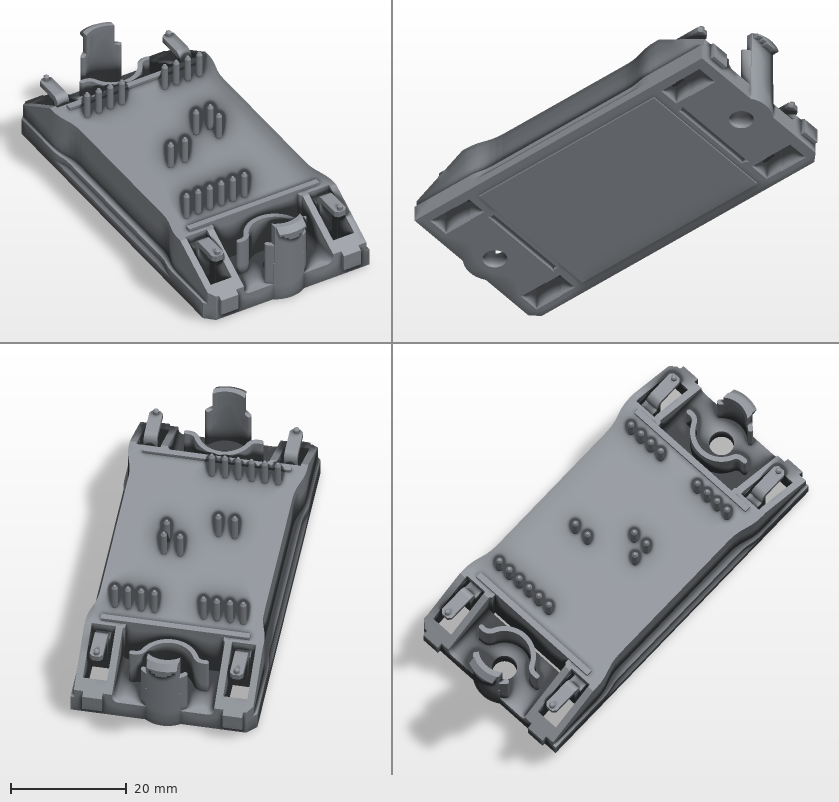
import cadquery as cq
import math

base_plate_height = 0.3
flange_top = 3.55
body_top = 11.2
bar_top = 11.8
pin_top = 16.3

overlap = 0.35

overall_half_length = 34.2
end_x = 32.15
tab_end_x = 33.05
flange_half_width = 32.5 / 2
corner_chamfer = 1.65
body_half_width = 15.65
waist_half_width = 28.8 / 2
waist_start_x = 21.15
waist_end_x = 13.9
top_half_length = 21.95
slope_angle = 30

base_plate_length = 39.1
base_plate_width = 28.05

recess_start_x = 19.9
recess_end_x = 15.3
recess_floor = 1.8
recess_half_width = 15.65

terminal_y = 12.3
tab_width = 3.4
tab_length = tab_end_x - end_x + overlap
tab_bottom = 1.8
window_outer_x = 30.1
window_inner_x = 21.5
window_width = 4.25
window_neck_x = 24.6
window_neck_width = 4.05
window_neck_top = 8.9

bay_half_width = 8.95
bay_fillet = 1.15
bay_inner_x = 21.75
slot_half_width = 8.6
hole_x = 27.55
hole_diameter = 4.3

wall_thickness = 0.9
wall_radius = 5.0
rib_top = 10.5
rib_end_offset = 1.15
rib_end_y = 7.0
rib_bend_radius = 1.6
wing_half_angle = 46.6

post_inner_radius = wall_radius - wall_thickness / 2
post_outer_radius = 5.55
post_half_width = 5.7 / 2
post_foot_half_width = 3.1
post_foot_top = 8.1
post_top = 15.95
hook_radius = overall_half_length - hole_x
hook_nose_top = 15.05
hook_steps = [(2.7, 14.65), (1.8, 14.15), (1.0, 13.7)]

bar_x = 20.1
bar_width = 1.1
bar_length = 26.1
slot_inner_x = bar_x + bar_width / 2

arm_width = 2.3
arm_outer_x = 29.5
arm_inner_x = 23.05
arm_top = 11.6
arm_thickness = 1.1
arm_tip_chamfer = 0.55
arm_bend_radius = 1.4
leg_bottom = 3.55
inner_bend_radius = 0.7
root_width = 2.7
root_top = 9.6
button_x = 28.8
button_diameter = 1.0
button_top = 12.6
button_chamfer = button_diameter / 4

pin_diameter = 1.1
pin_tip_height = 0.55
pin_tip_inset = 0.31
pin_pitch = 2.3
left_pin_x = -16.75
right_pin_x = 16.7
outer_pin_y = 11.3
center_pin_pitch = 2.9
center_pins = [(-1, 5.2), (0, 5.2), (-1, 2.3), (1, -3.35), (1, -6.2)]


def block(x_range, y_range, z_range):
    """Box given by its limits along the three axes."""
    sizes = [high - low for low, high in (x_range, y_range, z_range)]
    corner = (x_range[0], y_range[0], z_range[0])
    return cq.Workplane("XY").box(*sizes, centered=False).translate(corner)


def prism(outline, bottom, top):
    """Upright prism from an outline drawn in the XY plane."""
    return outline.extrude(top - bottom).translate((0, 0, bottom))


def polar(radius, degrees):
    """Point on the left mounting hole's circle; angles run clockwise from -X."""
    angle = math.radians(degrees)
    return (-hole_x - radius * math.cos(angle), radius * math.sin(angle))


def ring(inner_radius, outer_radius, bottom, top):
    """Full ring around the left mounting hole."""
    outline = cq.Workplane("XY").center(-hole_x, 0).circle(outer_radius).circle(inner_radius)
    return prism(outline, bottom, top)


def waisted_plan(edge_x, curve_start, curve_end, wide, narrow):
    """Plan outline that narrows from `wide` at the ends to `narrow` in the middle by S-curves."""
    middle_x = (curve_start + curve_end) / 2
    middle_y = (wide + narrow) / 2
    outline = cq.Workplane("XY").moveTo(-edge_x, -wide)
    for direction in (1, -1):
        near_side = -direction
        outline = (
            outline
            .lineTo(-direction * curve_start, near_side * wide)
            .tangentArcPoint((-direction * middle_x, near_side * middle_y), relative=False)
            .tangentArcPoint((-direction * curve_end, near_side * narrow), relative=False)
            .lineTo(direction * curve_end, near_side * narrow)
            .tangentArcPoint((direction * middle_x, near_side * middle_y), relative=False)
            .tangentArcPoint((direction * curve_start, near_side * wide), relative=False)
            .lineTo(direction * edge_x, near_side * wide)
        )
        if direction > 0:
            outline = outline.lineTo(edge_x, wide)
    return outline.close()


def flange():
    """Base flange with a recess along each long side that fades out in S-curves."""
    lower = block((-end_x, end_x), (-flange_half_width, flange_half_width), (base_plate_height, flange_top))
    reach = flange_half_width
    bevel = flange_half_width - recess_half_width
    recess = (
        cq.Workplane("YZ")
        .polyline([
            (reach, recess_floor),
            (reach, flange_top),
            (waist_half_width, flange_top),
            (waist_half_width, recess_floor + bevel),
            (recess_half_width, recess_floor + bevel),
        ])
        .close()
        .extrude(recess_start_x, both=True)
    )
    kept = prism(
        waisted_plan(end_x, recess_start_x, recess_end_x, flange_half_width, recess_half_width),
        base_plate_height, flange_top,
    )
    recess = recess.cut(kept)
    return lower.cut(recess).cut(recess.mirror("XZ"))


def end_slopes():
    """Side profile of the housing: flat top and sloping ends."""
    drop = (tab_end_x - top_half_length) * math.tan(math.radians(slope_angle))
    slope_end = body_top - drop
    profile = [
        (-tab_end_x, base_plate_height),
        (tab_end_x, base_plate_height),
        (tab_end_x, slope_end),
        (top_half_length, body_top),
        (-top_half_length, body_top),
        (-tab_end_x, slope_end),
    ]
    return cq.Workplane("XZ").polyline(profile).close().extrude(flange_half_width, both=True)


def housing():
    """Flange, waisted body and end tabs, trimmed by the two corner chamfers and the end slopes."""
    plan = waisted_plan(end_x, waist_start_x, waist_end_x, body_half_width, waist_half_width)
    body = flange().union(prism(plan, base_plate_height + overlap, body_top))
    corner_edge = flange_half_width - corner_chamfer
    for side in (-1, 1):
        corner = cq.Workplane("XY").polyline([
            (side * end_x, -corner_edge),
            (side * end_x, -flange_half_width),
            (side * (end_x - corner_chamfer), -flange_half_width),
        ]).close()
        body = body.cut(corner.extrude(body_top))
        for y in (-terminal_y, terminal_y):
            tab = cq.Workplane("XY").center(side * (tab_end_x - tab_length / 2), y)
            tab = tab.rect(tab_length, tab_width)
            body = body.union(prism(tab, tab_bottom, body_top))
    return body.intersect(end_slopes())


def bay_cut():
    """Bay with rounded floor corners, mounting hole, slot with bevelled lips and terminal windows."""
    bay = block((-tab_end_x, -bay_inner_x), (-bay_half_width, bay_half_width), (flange_top, pin_top))
    bay = bay.edges("|X and <Z").fillet(bay_fillet)
    lip = bay_half_width - slot_half_width
    slot_outline = cq.Workplane("XY").polyline([
        (-bay_inner_x, -bay_half_width),
        (-bay_inner_x + lip, -slot_half_width),
        (-slot_inner_x, -slot_half_width),
        (-slot_inner_x, slot_half_width),
        (-bay_inner_x + lip, slot_half_width),
        (-bay_inner_x, bay_half_width),
    ]).close()
    slot = slot_outline.extrude(pin_top)
    hole = cq.Workplane("XY").center(-hole_x, 0).circle(hole_diameter / 2).extrude(pin_top)
    cut = bay.union(slot).union(hole)
    for y in (-terminal_y, terminal_y):
        wide = (y - window_width / 2, y + window_width / 2)
        neck = (y - window_neck_width / 2, y + window_neck_width / 2)
        cut = cut.union(block((-window_outer_x, -window_neck_x), wide, (0, pin_top)))
        neck_length = (-window_neck_x, -window_inner_x)
        cut = cut.union(block(neck_length, wide, (window_neck_top, pin_top)))
        cut = cut.union(block(neck_length, neck, (0, window_neck_top)))
    return cut


def rib():
    """Wall round the inner side of the hole, with both ends bending outwards."""
    half = wall_thickness / 2
    bend_distance = wall_radius + rib_bend_radius
    bend_dx = rib_end_offset + rib_bend_radius
    bend_angle = math.acos(bend_dx / bend_distance)
    bend_y = bend_distance * math.sin(bend_angle)
    bend_center_x = -hole_x + bend_dx
    mid_angle = bend_angle / 2
    cap_y = rib_end_y - half

    def side_points(offset):
        """Tangent point, middle of the bend, X of the straight end and reach of one side."""
        circle = wall_radius + offset
        bend = rib_bend_radius - offset
        touch = (-hole_x + circle * math.cos(bend_angle), circle * math.sin(bend_angle))
        bend_middle = (bend_center_x - bend * math.cos(mid_angle), bend_y - bend * math.sin(mid_angle))
        return touch, bend_middle, bend_center_x - bend, circle - hole_x

    def below(point):
        return (point[0], -point[1])

    outer_touch, outer_bend, outer_x, outer_reach = side_points(half)
    inner_touch, inner_bend, inner_x, inner_reach = side_points(-half)

    outline = (
        cq.Workplane("XY")
        .moveTo(outer_x, -cap_y)
        .lineTo(outer_x, -bend_y)
        .threePointArc(below(outer_bend), below(outer_touch))
        .threePointArc((outer_reach, 0), outer_touch)
        .threePointArc(outer_bend, (outer_x, bend_y))
        .lineTo(outer_x, cap_y)
        .threePointArc(((outer_x + inner_x) / 2, rib_end_y), (inner_x, cap_y))
        .lineTo(inner_x, bend_y)
        .threePointArc(inner_bend, inner_touch)
        .threePointArc((inner_reach, 0), below(inner_touch))
        .threePointArc(below(inner_bend), (inner_x, -bend_y))
        .lineTo(inner_x, -cap_y)
        .threePointArc(((outer_x + inner_x) / 2, -rib_end_y), (outer_x, -cap_y))
        .close()
    )
    return prism(outline, flange_top - overlap, rib_top)


def wings():
    """Round-ended curved wall on the outer side of the hole."""
    inner = wall_radius - wall_thickness / 2
    outer = wall_radius + wall_thickness / 2
    angle = wing_half_angle
    cap_angle = angle + math.degrees(wall_thickness / 2 / wall_radius)
    outline = (
        cq.Workplane("XY")
        .moveTo(*polar(outer, -angle))
        .threePointArc(polar(outer, 0), polar(outer, angle))
        .threePointArc(polar(wall_radius, cap_angle), polar(inner, angle))
        .threePointArc(polar(inner, 0), polar(inner, -angle))
        .threePointArc(polar(wall_radius, -cap_angle), polar(outer, -angle))
        .close()
    )
    return prism(outline, flange_top - overlap, bar_top)


def outer_side(half_width, bottom):
    """Space on the outer side of the hole, used to trim rings to a width."""
    return block((-hole_x - hook_radius, -hole_x), (-half_width, half_width), (bottom, pin_top))


def latch_post():
    """Tall curved post, slightly wider at its foot."""
    foot = ring(post_inner_radius, post_outer_radius, base_plate_height, post_foot_top)
    foot = foot.intersect(outer_side(post_foot_half_width, 0))
    post = ring(post_inner_radius, post_outer_radius, base_plate_height, post_top)
    return foot.union(post.intersect(outer_side(post_half_width, 0)))


def latch_hook():
    """Outward nose with a bevelled top and an underside stepped towards the middle."""
    underside = hook_steps[-1][1]
    nose = (
        cq.Workplane("XZ")
        .polyline([
            (post_inner_radius + overlap, underside),
            (hook_radius, underside),
            (hook_radius, hook_nose_top),
            (post_outer_radius, post_top),
            (post_inner_radius + overlap, post_top),
        ])
        .close()
        .revolve(360, (0, 0, 0), (0, 1, 0))
        .translate((-hole_x, 0, 0))
    )
    steps = outer_side(*hook_steps[0])
    for half_width, bottom in hook_steps[1:]:
        steps = steps.union(outer_side(half_width, bottom))
    return nose.intersect(steps)


def terminal():
    """Bent arm over a window, with its leg rooted in the inner wall of the window."""
    arm_bottom = arm_top - arm_thickness
    bent = (
        cq.Workplane("XZ")
        .polyline([
            (-arm_outer_x, arm_top),
            (-arm_inner_x, arm_top),
            (-arm_inner_x, leg_bottom),
            (-arm_inner_x - arm_thickness, leg_bottom),
            (-arm_inner_x - arm_thickness, arm_bottom),
            (-arm_outer_x, arm_bottom),
        ])
        .close()
        .extrude(arm_width / 2, both=True)
        .translate((0, terminal_y, 0))
    )
    bent = bent.edges("|Y and >X and >Z").fillet(arm_bend_radius)
    inner_corner = cq.selectors.NearestToPointSelector(
        (-arm_inner_x - arm_thickness, terminal_y, arm_bottom)
    )
    bent = bent.edges("|Y").edges(inner_corner).fillet(inner_bend_radius)
    bent = bent.edges("|Z and <X").chamfer(arm_tip_chamfer)
    root_sides = (terminal_y - root_width / 2, terminal_y + root_width / 2)
    root = block((-arm_inner_x, -window_inner_x), root_sides, (leg_bottom, root_top))
    button = cq.Workplane("XY").center(-button_x, terminal_y).circle(button_diameter / 2)
    button = prism(button, arm_bottom, button_top).faces(">Z").chamfer(button_chamfer)
    return bent.union(root).union(button)


def sealing_bar():
    bar = cq.Workplane("XY").center(-bar_x, 0).rect(bar_width, bar_length)
    return prism(bar, body_top - overlap, bar_top)


def pin_positions():
    """Two rows of four at the left, one row of six at the right and five pins in the middle."""
    rows = [outer_pin_y - i * pin_pitch for i in range(4)]
    left = [(left_pin_x, side * y) for side in (-1, 1) for y in rows]
    right = [(right_pin_x, -outer_pin_y + i * pin_pitch) for i in range(6)]
    center = [(column * center_pin_pitch, y) for column, y in center_pins]
    return left + right + center


def pins():
    sections = cq.Workplane("XY").pushPoints(pin_positions()).circle(pin_diameter / 2)
    shafts = prism(sections, body_top - overlap, pin_top)
    return shafts.faces(">Z").chamfer(pin_tip_height, pin_tip_inset)


end_parts = rib().union(wings()).union(latch_post()).union(latch_hook())
end_parts = end_parts.union(terminal()).union(terminal().mirror("XZ")).union(sealing_bar())

base_plate = cq.Workplane("XY").rect(base_plate_length, base_plate_width).extrude(base_plate_height)

result = housing().cut(bay_cut()).cut(bay_cut().mirror("YZ"))
result = result.union(base_plate).union(end_parts).union(end_parts.mirror("YZ")).union(pins())